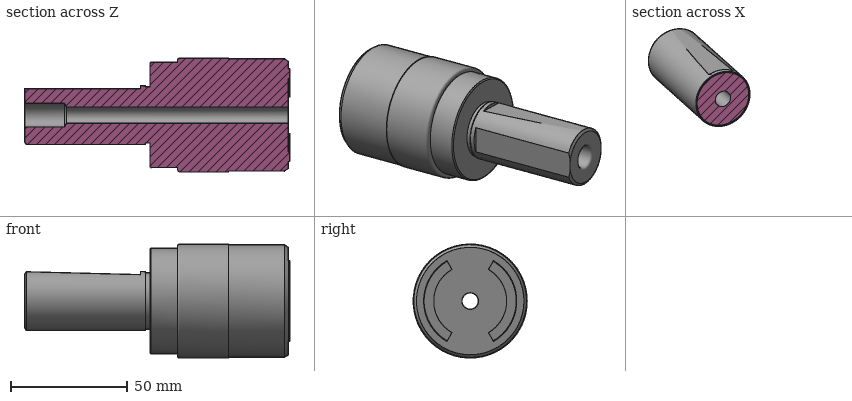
import cadquery as cq
import math

total_length = 114.0

shank_diameter = 25.4
shank_chamfer_length = 0.8
shank_chamfer_depth = 1.1
relief_diameter = 24.4
relief_start = 51.9

shoulder_diameter = 45.5
shoulder_start = 53.8
shoulder_chamfer = 0.51
collar_diameter = 49.0
collar_start = 65.7
collar_end = 87.5
collar_rounding = 1.0
sleeve_diameter = 48.5
sleeve_chamfer_length = 1.7
sleeve_chamfer_depth = 1.1

lug_height = 0.7
lug_outer_diameter = 40.0
lug_inner_diameter = 31.4
lug_chamfer = 0.2
lug_gap_angle = 60.0
sleeve_end = total_length - lug_height

flat_length = 49.7
flat_offset = 11.4
taper_start_height = 12.7

bore_diameter = 7.0
counterbore_diameter = 10.0
counterbore_depth = 17.1
counterbore_tip_angle = 118.0
mouth_rounding = 1.1


def make_body():
    """Revolve the stepped outline about the X axis."""
    shank_r = shank_diameter / 2
    relief_r = relief_diameter / 2
    shoulder_r = shoulder_diameter / 2
    collar_r = collar_diameter / 2
    sleeve_r = sleeve_diameter / 2
    rounding_center = (collar_start + collar_rounding, collar_r - collar_rounding)
    rounding_reach = collar_rounding * math.sqrt(0.5)
    rounding_middle = (rounding_center[0] - rounding_reach, rounding_center[1] + rounding_reach)
    rounding_end = (rounding_center[0], collar_r)
    shank_side = [
        (0, 0),
        (0, shank_r - shank_chamfer_depth),
        (shank_chamfer_length, shank_r),
        (relief_start, shank_r),
        (relief_start, relief_r),
        (shoulder_start, relief_r),
        (shoulder_start, shoulder_r - shoulder_chamfer),
        (shoulder_start + shoulder_chamfer, shoulder_r),
        (collar_start, shoulder_r),
        (collar_start, collar_r - collar_rounding),
    ]
    sleeve_side = [
        (collar_end, collar_r),
        (collar_end, sleeve_r),
        (sleeve_end - sleeve_chamfer_length, sleeve_r),
        (sleeve_end, sleeve_r - sleeve_chamfer_depth),
        (sleeve_end, 0),
    ]
    outline = (
        cq.Workplane("XY")
        .polyline(shank_side)
        .threePointArc(rounding_middle, rounding_end)
        .polyline(sleeve_side, includeCurrent=True)
        .close()
    )
    return outline.revolve(360, (0, 0, 0), (1, 0, 0))


def make_lugs():
    """Chamfered ring on the sleeve face, split by radial-sided gaps at +Z and -Z."""
    ring = (
        cq.Workplane("YZ", origin=(sleeve_end, 0, 0))
        .circle(lug_outer_diameter / 2)
        .extrude(lug_height)
        .faces(">X").edges().chamfer(lug_chamfer)
        .faces(">X").workplane().circle(lug_inner_diameter / 2).cutThruAll()
    )
    gap_reach = lug_outer_diameter
    gap_half_width = gap_reach * math.tan(math.radians(lug_gap_angle / 2))
    for side in (1, -1):
        gap = (
            cq.Workplane("YZ", origin=(sleeve_end, 0, 0))
            .polyline([(0, 0), (gap_half_width, side * gap_reach), (-gap_half_width, side * gap_reach)])
            .close()
            .extrude(lug_height)
        )
        ring = ring.cut(gap)
    return ring


def make_side_flat():
    """Cutter for the flat on +Y, parallel to the axis."""
    return cq.Workplane("XY").box(
        flat_length, shank_diameter, shank_diameter, centered=(False, False, True)
    ).translate((0, flat_offset, 0))


def make_tapered_flat():
    """Cutter for the flat on +Z, which deepens towards the shoulder."""
    profile = [
        (0, taper_start_height),
        (flat_length, flat_offset),
        (flat_length, shank_diameter),
        (0, shank_diameter),
    ]
    return cq.Workplane("XZ").polyline(profile).close().extrude(shank_diameter / 2, both=True)


def make_bore():
    """Through bore with a round-mouthed, drill-pointed counterbore at the shank end."""
    bore_r = bore_diameter / 2
    counterbore_r = counterbore_diameter / 2
    tip_length = (counterbore_r - bore_r) / math.tan(math.radians(counterbore_tip_angle / 2))
    mouth_inset = mouth_rounding * (1 - math.sqrt(0.5))
    outline = (
        cq.Workplane("XY")
        .lineTo(0, counterbore_r + mouth_rounding)
        .threePointArc((mouth_inset, counterbore_r + mouth_inset), (mouth_rounding, counterbore_r))
        .lineTo(counterbore_depth, counterbore_r)
        .lineTo(counterbore_depth + tip_length, bore_r)
        .lineTo(total_length, bore_r)
        .lineTo(total_length, 0)
        .close()
    )
    return outline.revolve(360, (0, 0, 0), (1, 0, 0))


result = (
    make_body()
    .union(make_lugs())
    .cut(make_side_flat())
    .cut(make_tapered_flat())
    .cut(make_bore())
)